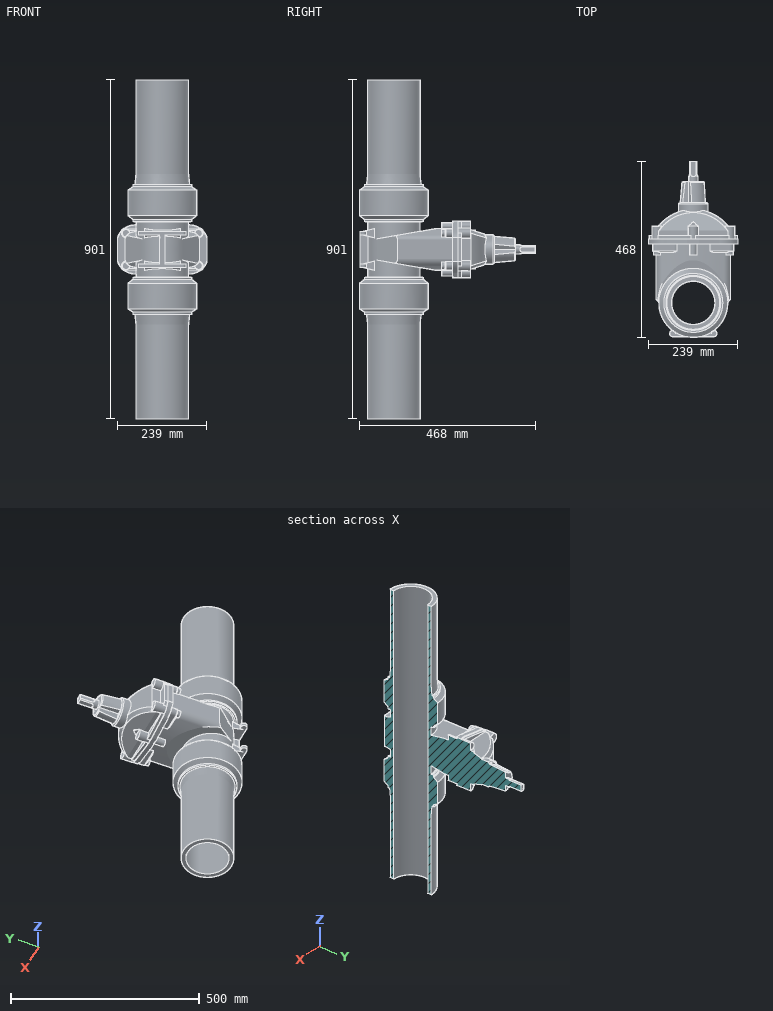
import cadquery as cq
import math


LENGTH = 901.0
PIPE_DIA = 140.0
SLEEVE_DIA = 141.0
SLEEVE_FLARE_DIA = 146.0
BORE_DIA = 114.0
COLLAR_DIA = 184.0
COLLAR_END_DIA = 157.0
COLLAR_ROOT_DIA = 148.0
COLLAR_INNER_Z = 73.0
COLLAR_LOW_Z = (75.0, 79.0, 90.0)
COLLAR_HIGH_Z = (158.0, 167.0, 173.0)
SLEEVE_END_Z = 200.0

HOUSING_HALF_X = 99.0
HOUSING_FACE_HALF_X = 83.0
HOUSING_SIDE_HALF_Z = 26.0
HOUSING_SHOULDER_HALF_Z = 45.0
HOUSING_HALF_Z = 56.0
HOUSING_CORNER_BULGE = 3.0
HOUSING_CORNER_Y = 10.0
TANGENT_X = 54.0
SADDLE_RADIUS = 113.0
SADDLE_SLOPE = 0.175

FLANGE_Y = 156.0
FLANGE_SEAM_Y = 170.0
FLANGE_TOP_Y = 179.0
FLANGE_WIDTH = 239.0
FLANGE_SIDE_HALF_Z = 31.5
FLANGE_LUG_HALF_X = 16.0
FLANGE_ARC_MID = (104.5, 53.0)
FLANGE_SHOULDER = (70.0, 66.0)
FLANGE_HALF_Z = 76.0
FLANGE_STEP = 2.0

BOLT_X = 96.0
BOLT_Z = 43.0
CENTRE_BOLT_Z = 61.0
BOSS_DIA = 28.0
BOSS_TOP_Y = 204.0
GABLE_TOP_Y = 216.0
GABLE_HALF_X = 13.0
GABLE_HALF_Z = 52.0
BAR_INNER_X = 39.0
BAR_DIA = 23.0
BAR_BOTTOM_Y = 133.0
BAR_CHAMFER = 4.5
NUT_DIA = 20.0
NUT_BOTTOM_Y = 127.0

DOME_RADIUS = 119.0
DOME_CENTRE_Y = 130.0
DOME_HALF_X = 92.0
DOME_BASE_HALF_Z = 57.0
DOME_BASE_Y = 191.0
DOME_TOP_HALF_Z = 39.0
DOME_CHAMFER = 9.0
CROWN_MARGIN = 4.5

NECK_DIA = 79.0
NECK_TOP_Y = 267.0
NECK_CHAMFER = 4.0
GLAND_BASE_RADIUS = 35.0
GLAND_TOP_RADIUS = 31.0
GLAND_TOP_Y = 323.0
GLAND_CHAMFER = 3.0
LOBE_WIDTH = 42.0
LOBES = 3
STEM_DIA = 25.0
STEM_TOP_Y = 376.0
STEM_FLATS = 21.0
STEM_FLAT_COUNT = 4
STEM_FLAT_START_Y = 335.0

FOOT_Z = 43.0
FOOT_HALF_X = 63.0
FOOT_BOTTOM_Y = -90.0
FOOT_BAR_HEIGHT = 17.0
FOOT_THICKNESS = 10.0
FOOT_PAD_HALF_X = 48.0
FOOT_PAD_TOP_HALF_Z = 13.0
FOOT_PAD_TOP_Y = -50.5
FOOT_WEB_THICKNESS = 15.0


def cylinder_y(diameter, y_low, y_high, x=0.0, z=0.0):
    """Cylinder along Y between two Y levels."""
    plane = cq.Plane(origin=(x, y_low, z), xDir=(1, 0, 0), normal=(0, 1, 0))
    return cq.Workplane(plane).circle(diameter / 2).extrude(y_high - y_low)


def prism_z(sketch, half_height):
    """Closed XY outline made into a prism centred on its own plane."""
    return sketch.extrude(half_height, both=True)


def pipe_run():
    """Pipe with one collar and sleeve on each side of the valve, still solid inside."""
    half_profile = [
        (0, 0),
        (PIPE_DIA / 2, 0),
        (PIPE_DIA / 2, COLLAR_INNER_Z),
        (COLLAR_ROOT_DIA / 2, COLLAR_INNER_Z),
        (COLLAR_END_DIA / 2, COLLAR_LOW_Z[0]),
        (COLLAR_END_DIA / 2, COLLAR_LOW_Z[1]),
        (COLLAR_DIA / 2, COLLAR_LOW_Z[2]),
        (COLLAR_DIA / 2, COLLAR_HIGH_Z[0]),
        (COLLAR_END_DIA / 2, COLLAR_HIGH_Z[1]),
        (COLLAR_END_DIA / 2, COLLAR_HIGH_Z[2]),
        (SLEEVE_FLARE_DIA / 2, COLLAR_HIGH_Z[2]),
        (SLEEVE_DIA / 2, SLEEVE_END_Z),
        (SLEEVE_DIA / 2, LENGTH / 2),
        (0, LENGTH / 2),
    ]
    half = cq.Workplane("XZ").polyline(half_profile).close().revolve(360, (0, 0), (0, 1))
    return half.union(half.mirror("XY"))


def gate_housing():
    side_x = HOUSING_HALF_X
    side_z = HOUSING_SIDE_HALF_Z
    face_x = HOUSING_FACE_HALF_X
    face_z = HOUSING_SHOULDER_HALF_Z
    mid_x = (side_x + face_x) / 2 + HOUSING_CORNER_BULGE
    mid_z = (side_z + face_z) / 2 + HOUSING_CORNER_BULGE
    plane = cq.Plane(origin=(0, -PIPE_DIA / 2, 0), xDir=(1, 0, 0), normal=(0, 1, 0))
    housing = (
        cq.Workplane(plane)
        .moveTo(side_x, -side_z)
        .lineTo(side_x, side_z)
        .threePointArc((mid_x, mid_z), (face_x, face_z))
        .threePointArc((0, HOUSING_HALF_Z), (-face_x, face_z))
        .threePointArc((-mid_x, mid_z), (-side_x, side_z))
        .lineTo(-side_x, -side_z)
        .threePointArc((-mid_x, -mid_z), (-face_x, -face_z))
        .threePointArc((0, -HOUSING_HALF_Z), (face_x, -face_z))
        .threePointArc((mid_x, -mid_z), (side_x, -side_z))
        .close()
        .extrude(FLANGE_Y + PIPE_DIA / 2)
    )

    tangent_y = -math.sqrt((PIPE_DIA / 2) ** 2 - TANGENT_X ** 2)
    outline = cq.Workplane("XY").polyline([
        (TANGENT_X, tangent_y),
        (HOUSING_HALF_X, HOUSING_CORNER_Y),
        (HOUSING_HALF_X, FLANGE_Y),
        (-HOUSING_HALF_X, FLANGE_Y),
        (-HOUSING_HALF_X, HOUSING_CORNER_Y),
        (-TANGENT_X, tangent_y),
    ]).close()
    housing = housing.intersect(prism_z(outline, HOUSING_HALF_Z))

    saddle_drop = 2 * SADDLE_RADIUS * SADDLE_SLOPE
    saddle_wedge = (
        cq.Workplane("YZ")
        .polyline([
            (SADDLE_RADIUS, HOUSING_HALF_Z),
            (-SADDLE_RADIUS, HOUSING_HALF_Z - saddle_drop),
            (-SADDLE_RADIUS, 2 * HOUSING_HALF_Z),
            (SADDLE_RADIUS, 2 * HOUSING_HALF_Z),
        ])
        .close()
        .extrude(SADDLE_RADIUS, both=True)
    )
    saddle_limit = prism_z(cq.Workplane("XY").circle(SADDLE_RADIUS), 2 * HOUSING_HALF_Z)
    saddle_cut = saddle_wedge.intersect(saddle_limit)
    return housing.cut(saddle_cut).cut(saddle_cut.mirror("XY"))


def flange_plate(y_low, y_high, inset):
    """Rounded plate with a lug in the middle of each long edge."""
    half_x = FLANGE_WIDTH / 2 - inset
    half_z = FLANGE_HALF_Z - inset
    side_z = FLANGE_SIDE_HALF_Z
    lug_x = FLANGE_LUG_HALF_X
    arc_x = FLANGE_ARC_MID[0] - inset
    arc_z = FLANGE_ARC_MID[1] - inset
    shoulder_x = FLANGE_SHOULDER[0]
    shoulder_z = FLANGE_SHOULDER[1] - inset
    plane = cq.Plane(origin=(0, y_low, 0), xDir=(1, 0, 0), normal=(0, 1, 0))
    return (
        cq.Workplane(plane)
        .moveTo(half_x, -side_z)
        .lineTo(half_x, side_z)
        .threePointArc((arc_x, arc_z), (shoulder_x, shoulder_z))
        .lineTo(lug_x, half_z)
        .lineTo(-lug_x, half_z)
        .lineTo(-shoulder_x, shoulder_z)
        .threePointArc((-arc_x, arc_z), (-half_x, side_z))
        .lineTo(-half_x, -side_z)
        .threePointArc((-arc_x, -arc_z), (-shoulder_x, -shoulder_z))
        .lineTo(-lug_x, -half_z)
        .lineTo(lug_x, -half_z)
        .lineTo(shoulder_x, -shoulder_z)
        .threePointArc((arc_x, -arc_z), (half_x, -side_z))
        .close()
        .extrude(y_high - y_low)
    )


def corner_bolt(x_side, z_side):
    """Boss above the flange, elongated pad and nut below it."""
    x = x_side * BOLT_X
    z = z_side * BOLT_Z
    boss = cylinder_y(BOSS_DIA, FLANGE_SEAM_Y, BOSS_TOP_Y, x, z)
    bar_outer_x = BOLT_X + BAR_DIA / 2
    bar_length = bar_outer_x - BAR_INNER_X
    bar_centre_x = x_side * (bar_outer_x + BAR_INNER_X) / 2
    plane = cq.Plane(origin=(bar_centre_x, BAR_BOTTOM_Y, z), xDir=(1, 0, 0), normal=(0, 1, 0))
    bar = cq.Workplane(plane).slot2D(bar_length, BAR_DIA).extrude(FLANGE_SEAM_Y - BAR_BOTTOM_Y)
    bar = bar.faces("<Y").chamfer(BAR_CHAMFER)
    nut = cylinder_y(NUT_DIA, NUT_BOTTOM_Y, FLANGE_Y, x, z)
    return boss.union(bar).union(nut)


def centre_bolt(z_side):
    """Boss above the flange lug and nut below it."""
    z = z_side * CENTRE_BOLT_Z
    boss = cylinder_y(BOSS_DIA, FLANGE_SEAM_Y, BOSS_TOP_Y, 0, z)
    nut = cylinder_y(NUT_DIA, NUT_BOTTOM_Y, FLANGE_Y, 0, z)
    return boss.union(nut)


def bonnet():
    """Arched dome with chamfered crown, gables behind the centre bolts and a round neck."""
    arc_end_y = DOME_CENTRE_Y + math.sqrt(DOME_RADIUS ** 2 - DOME_HALF_X ** 2)
    dome_top_y = DOME_CENTRE_Y + DOME_RADIUS
    outline = (
        cq.Workplane("XY")
        .moveTo(-DOME_HALF_X, FLANGE_SEAM_Y)
        .lineTo(-DOME_HALF_X, arc_end_y)
        .threePointArc((0, dome_top_y), (DOME_HALF_X, arc_end_y))
        .lineTo(DOME_HALF_X, FLANGE_SEAM_Y)
        .close()
    )
    side_outline = cq.Workplane("YZ").polyline([
        (FLANGE_SEAM_Y, -DOME_BASE_HALF_Z),
        (DOME_BASE_Y, -DOME_BASE_HALF_Z),
        (dome_top_y, -DOME_TOP_HALF_Z),
        (dome_top_y, DOME_TOP_HALF_Z),
        (DOME_BASE_Y, DOME_BASE_HALF_Z),
        (FLANGE_SEAM_Y, DOME_BASE_HALF_Z),
    ]).close().extrude(DOME_HALF_X, both=True)
    dome = prism_z(outline, DOME_BASE_HALF_Z).intersect(side_outline)
    crown_box = cq.selectors.BoxSelector(
        (-DOME_HALF_X, arc_end_y + CROWN_MARGIN, -FLANGE_HALF_Z),
        (DOME_HALF_X, dome_top_y + CROWN_MARGIN, FLANGE_HALF_Z),
    )
    dome = dome.edges(crown_box).chamfer(DOME_CHAMFER)
    gable = cq.Workplane("XY").polyline([
        (-GABLE_HALF_X, FLANGE_TOP_Y),
        (-GABLE_HALF_X, BOSS_TOP_Y),
        (0, GABLE_TOP_Y),
        (GABLE_HALF_X, BOSS_TOP_Y),
        (GABLE_HALF_X, FLANGE_TOP_Y),
    ]).close()
    neck = cylinder_y(NECK_DIA, BOSS_TOP_Y, NECK_TOP_Y).faces(">Y").chamfer(NECK_CHAMFER)
    return dome.union(prism_z(gable, GABLE_HALF_Z)).union(neck)


def gland():
    """Tapered three-lobed nut around the stem."""
    height = GLAND_TOP_Y - NECK_TOP_Y
    cone = (
        cq.Workplane("XY")
        .polyline([
            (0, NECK_TOP_Y),
            (GLAND_BASE_RADIUS, NECK_TOP_Y),
            (GLAND_TOP_RADIUS, GLAND_TOP_Y - GLAND_CHAMFER),
            (GLAND_TOP_RADIUS - GLAND_CHAMFER, GLAND_TOP_Y),
            (0, GLAND_TOP_Y),
        ])
        .close()
        .revolve(360, (0, 0), (0, 1))
    )
    lobe = cq.Workplane("XY", origin=(-GLAND_BASE_RADIUS / 2, NECK_TOP_Y + height / 2, 0)).box(
        GLAND_BASE_RADIUS, height, LOBE_WIDTH
    )
    lobes = lobe
    for turn in range(1, LOBES):
        lobes = lobes.union(lobe.rotate((0, 0, 0), (0, 1, 0), turn * 360 / LOBES))
    return cone.intersect(lobes)


def stem():
    """Round stem with round-ended flats forming a square drive."""
    shaft = cylinder_y(STEM_DIA, NECK_TOP_Y, STEM_TOP_Y)
    flat_width = math.sqrt(STEM_DIA ** 2 - STEM_FLATS ** 2)
    flat_length = STEM_TOP_Y - STEM_FLAT_START_Y + flat_width
    flat = (
        cq.Workplane("XY", origin=(0, STEM_FLAT_START_Y + flat_length / 2, STEM_FLATS / 2))
        .slot2D(flat_length, flat_width, 90)
        .extrude(STEM_DIA)
    )
    for turn in range(STEM_FLAT_COUNT):
        shaft = shaft.cut(flat.rotate((0, 0, 0), (0, 1, 0), turn * 360 / STEM_FLAT_COUNT))
    return shaft


def foot():
    """Two round-ended bars under the pipe, joined by a web."""
    bar_centre_y = FOOT_BOTTOM_Y + FOOT_BAR_HEIGHT / 2
    bar = prism_z(
        cq.Workplane("XY", origin=(0, bar_centre_y, 0)).slot2D(2 * FOOT_HALF_X, FOOT_BAR_HEIGHT),
        FOOT_THICKNESS / 2,
    )
    pad = (
        cq.Workplane("YZ")
        .polyline([
            (0, -FOOT_PAD_TOP_HALF_Z),
            (FOOT_PAD_TOP_Y, -FOOT_PAD_TOP_HALF_Z),
            (bar_centre_y, -FOOT_THICKNESS / 2),
            (bar_centre_y, FOOT_THICKNESS / 2),
            (FOOT_PAD_TOP_Y, FOOT_PAD_TOP_HALF_Z),
            (0, FOOT_PAD_TOP_HALF_Z),
        ])
        .close()
        .extrude(FOOT_PAD_HALF_X, both=True)
    )
    above_pad = prism_z(
        cq.Workplane("XY").rect(2 * FOOT_PAD_HALF_X, -2 * FOOT_PAD_TOP_Y), FOOT_PAD_TOP_HALF_Z
    )
    plate = bar.union(pad.cut(above_pad))
    web = cq.Workplane("XY").box(
        FOOT_WEB_THICKNESS, -FOOT_BOTTOM_Y, 2 * FOOT_Z, centered=(True, False, True)
    ).translate((0, FOOT_BOTTOM_Y, 0))
    return web.union(plate.translate((0, 0, FOOT_Z))).union(plate.translate((0, 0, -FOOT_Z)))


body = pipe_run().union(gate_housing())
body = body.union(flange_plate(FLANGE_Y, FLANGE_SEAM_Y, 0))
body = body.union(flange_plate(FLANGE_SEAM_Y, FLANGE_TOP_Y, FLANGE_STEP))
body = body.union(bonnet()).union(gland()).union(stem()).union(foot())
for z_side in (-1, 1):
    body = body.union(centre_bolt(z_side))
    for x_side in (-1, 1):
        body = body.union(corner_bolt(x_side, z_side))

bore = cq.Workplane("XY").circle(BORE_DIA / 2).extrude(LENGTH / 2, both=True)
result = body.cut(bore)